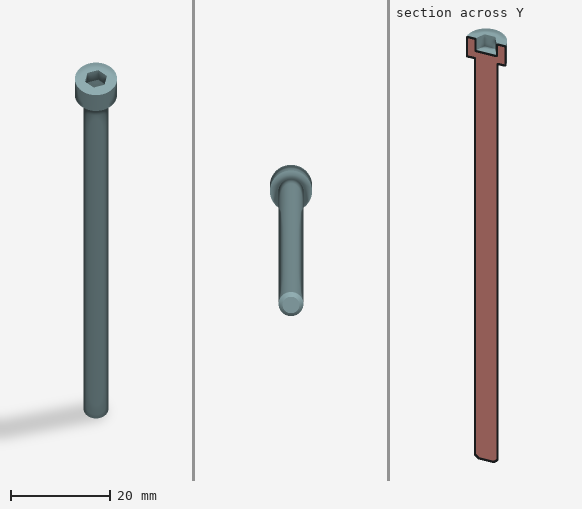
import cadquery as cq
import math

head_diameter = 8.5
head_height = 5.0
shank_diameter = 5.0
shank_length = 100.0
tip_chamfer = 0.8
hexagon_sides = 6
socket_across_flats = 4.0
socket_depth = 3.0


def make_head():
    return cq.Workplane("XY").circle(head_diameter / 2).extrude(head_height)


def make_shank():
    shank = cq.Workplane("XY").circle(shank_diameter / 2).extrude(-shank_length)
    return shank.faces("<Z").chamfer(tip_chamfer)


def make_socket():
    """Hexagonal drive recess with two corners on the X axis."""
    across_corners = socket_across_flats / math.cos(math.pi / hexagon_sides)
    return (
        cq.Workplane("XY")
        .workplane(offset=head_height)
        .polygon(hexagon_sides, across_corners)
        .extrude(-socket_depth)
    )


result = make_head().union(make_shank()).cut(make_socket())